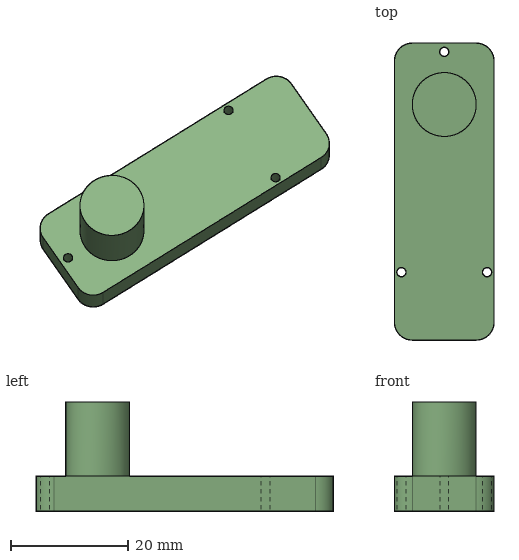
import cadquery as cq

plate_width = 17.05
plate_length = 50.8
plate_thickness = 6.0
corner_radius = 3.1

total_height = 18.7
post_diameter = 10.9
post_from_back = 10.5

hole_diameter = 1.5
back_hole_inset = 1.5
side_hole_inset = 1.2
side_holes_from_front = 11.65

back_edge = plate_length / 2
side_hole_x = plate_width / 2 - side_hole_inset
side_hole_y = side_holes_from_front - plate_length / 2
hole_centers = [
    (0, back_edge - back_hole_inset),
    (-side_hole_x, side_hole_y),
    (side_hole_x, side_hole_y),
]

plate = (
    cq.Workplane("XY")
    .box(plate_width, plate_length, plate_thickness, centered=(True, True, False))
    .edges("|Z")
    .fillet(corner_radius)
    .faces(">Z")
    .workplane(origin=(0, 0, plate_thickness))
    .pushPoints(hole_centers)
    .hole(hole_diameter)
)

post = (
    cq.Workplane("XY", origin=(0, back_edge - post_from_back, plate_thickness))
    .circle(post_diameter / 2)
    .extrude(total_height - plate_thickness)
)

result = plate.union(post)